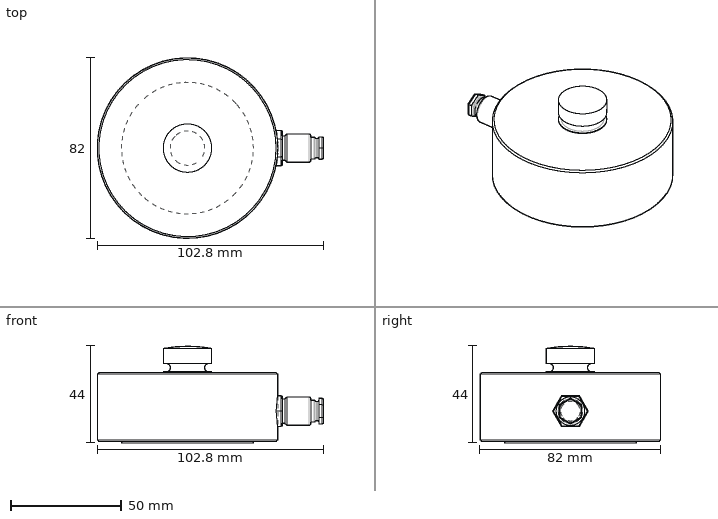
import cadquery as cq
import math

HOUSING_RADIUS = 41.0
HOUSING_CHAMFER = 0.8
FOOT_RADIUS = 29.9
FOOT_HEIGHT = 0.6
HOUSING_TOP = 32.1

BUTTON_RADIUS = 11.0
BUTTON_BASE = 36.1
BUTTON_SHOULDER = 43.0
BUTTON_TOP = 44.0
COLLAR_HEIGHT = 0.3
NECK_RADIUS = 7.8

GLAND_AXIS_Z = 14.5
GLAND_START = 37.0
BASE_HEX_END = 43.1
BASE_HEX_FLATS = 14.0
SLEEVE_RADIUS = 5.5
SLEEVE_END = 44.2
BARREL_RADIUS = 6.5
BARREL_END = 56.0
BARREL_ROUND = 0.9
TAIL_RADIUS = 5.0
TAIL_END = 57.4
SHOULDER_STEP = 0.3
WAIST_RADIUS = 4.4
WAIST_START = 58.5
WAIST_END = 59.1
END_HEX_START = 59.6
END_HEX_END = 61.8
END_HEX_FLATS = 10.2
HEX_CHAMFER_LENGTH = 0.7
HEX_CHAMFER_DEPTH = 0.3
CORNERS_ALONG_Z = 0
CORNERS_ALONG_Y = 90


def dome_point_halfway_out():
    """Point on the spherical button top at half the button's radius."""
    rise = BUTTON_TOP - BUTTON_SHOULDER
    dome_radius = (BUTTON_RADIUS**2 + rise**2) / (2 * rise)
    reach = BUTTON_RADIUS / 2
    return reach, BUTTON_TOP - dome_radius + math.sqrt(dome_radius**2 - reach**2)


def make_housing():
    """Turned housing with its foot, waisted neck and domed button."""
    side = HOUSING_RADIUS - HOUSING_CHAMFER
    collar_top = HOUSING_TOP + COLLAR_HEIGHT
    groove_radius = (BUTTON_BASE - collar_top) / 2
    groove_edge = NECK_RADIUS + groove_radius
    return (
        cq.Workplane("XZ")
        .lineTo(FOOT_RADIUS, 0)
        .lineTo(FOOT_RADIUS, FOOT_HEIGHT)
        .lineTo(side, FOOT_HEIGHT)
        .lineTo(HOUSING_RADIUS, FOOT_HEIGHT + HOUSING_CHAMFER)
        .lineTo(HOUSING_RADIUS, HOUSING_TOP - HOUSING_CHAMFER)
        .lineTo(side, HOUSING_TOP)
        .lineTo(BUTTON_RADIUS, HOUSING_TOP)
        .lineTo(BUTTON_RADIUS, collar_top)
        .lineTo(groove_edge, collar_top)
        .radiusArc((NECK_RADIUS, collar_top + groove_radius), groove_radius)
        .radiusArc((groove_edge, BUTTON_BASE), groove_radius)
        .lineTo(BUTTON_RADIUS, BUTTON_BASE)
        .lineTo(BUTTON_RADIUS, BUTTON_SHOULDER)
        .threePointArc(dome_point_halfway_out(), (0, BUTTON_TOP))
        .close()
        .revolve(360, (0, 0), (0, 1))
    )


def make_hexagon(flats, start, end, corner_angle):
    """Hexagonal prism along the gland axis, its outer end chamfered."""
    return (
        cq.Workplane("YZ")
        .polygon(6, flats, circumscribed=True)
        .extrude(end - start)
        .faces(">X")
        .chamfer(HEX_CHAMFER_LENGTH, HEX_CHAMFER_DEPTH)
        .rotate((0, 0, 0), (1, 0, 0), corner_angle)
        .translate((start, 0, GLAND_AXIS_Z))
    )


def make_gland_core():
    """Turned part of the gland: sleeve, barrel, tail and waist."""
    bevel = BARREL_RADIUS - SLEEVE_RADIUS
    flare_radius = WAIST_RADIUS + END_HEX_START - WAIST_END
    shoulder_end = (TAIL_END + WAIST_START) / 2
    shoulder_round = shoulder_end - TAIL_END
    return (
        cq.Workplane("XY")
        .moveTo(GLAND_START, 0)
        .lineTo(GLAND_START, SLEEVE_RADIUS)
        .lineTo(SLEEVE_END, SLEEVE_RADIUS)
        .lineTo(SLEEVE_END + bevel, BARREL_RADIUS)
        .lineTo(BARREL_END - BARREL_ROUND, BARREL_RADIUS)
        .radiusArc((BARREL_END, BARREL_RADIUS - BARREL_ROUND), BARREL_ROUND)
        .lineTo(BARREL_END, TAIL_RADIUS)
        .lineTo(TAIL_END, TAIL_RADIUS)
        .radiusArc((shoulder_end, TAIL_RADIUS - SHOULDER_STEP), shoulder_round)
        .radiusArc((WAIST_START, WAIST_RADIUS), -shoulder_round)
        .lineTo(WAIST_END, WAIST_RADIUS)
        .radiusArc((END_HEX_START, flare_radius), -(END_HEX_START - WAIST_END))
        .lineTo(END_HEX_START, 0)
        .close()
        .revolve(360, (0, 0), (1, 0))
        .translate((0, 0, GLAND_AXIS_Z))
    )


def make_gland(housing):
    """Cable gland whose base hexagon is shaped to seat on the round housing."""
    base_hex = make_hexagon(BASE_HEX_FLATS, GLAND_START, BASE_HEX_END, CORNERS_ALONG_Y)
    end_hex = make_hexagon(END_HEX_FLATS, END_HEX_START, END_HEX_END, CORNERS_ALONG_Z)
    return make_gland_core().union(base_hex).union(end_hex).cut(housing)


housing = make_housing()
gland = make_gland(housing)

result = cq.Compound.makeCompound([housing.val(), *gland.solids().vals()])